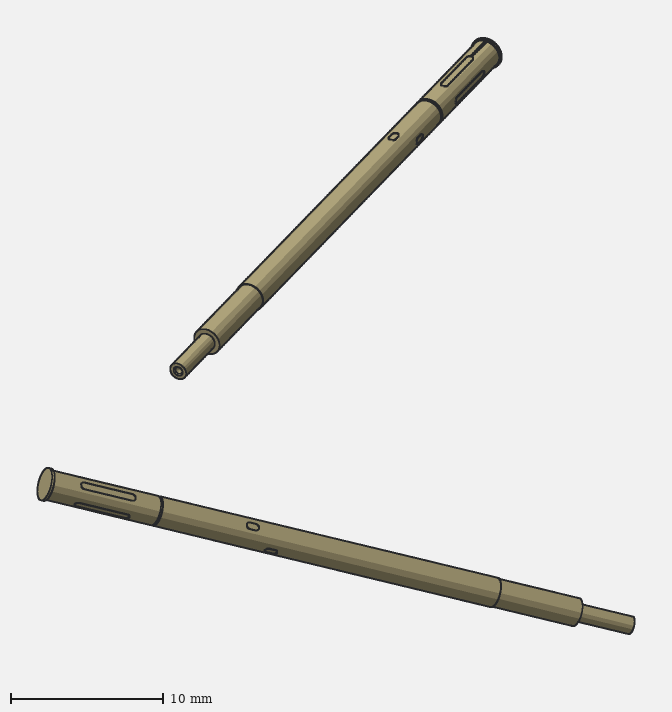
import cadquery as cq
import math

total_length = 43.0
head_end = total_length / 2
tail_end = -total_length / 2
flange_thickness = 0.2
neck_distance = 8.05
neck_width = 0.15
rear_length = 6.0
tail_length = 4.0

flange_diameter = 2.2
body_diameter = 2.0
neck_diameter = 1.9
rear_diameter = 1.9
tail_diameter = 1.2

countersink_diameter = 0.68
countersink_depth = 0.1
drill_point_diameter = 0.5
drill_point_angle = 120

recess_width = 0.5
recess_floor_radius = 0.92
slot_start = 2.2
slot_length = 4.0

slit_width = 0.12
slit_end = slot_start + recess_width / 2

dent_length = 0.9
dent_first_centre = 11.2
dent_pitch = 1.8

recesses_around = 4
quarter_turn = 360 / recesses_around


def turned_body():
    flange_radius = flange_diameter / 2
    body_radius = body_diameter / 2
    neck_radius = neck_diameter / 2
    rear_radius = rear_diameter / 2
    tail_radius = tail_diameter / 2
    flange_back = head_end - flange_thickness
    neck_front = head_end - neck_distance
    shoulder = tail_end + tail_length
    rear_front = shoulder + rear_length
    profile = (
        cq.Workplane("XY")
        .moveTo(0, head_end)
        .lineTo(flange_radius, head_end)
        .lineTo(flange_radius, flange_back)
        .lineTo(body_radius, flange_back)
        .lineTo(body_radius, neck_front)
        .lineTo(neck_radius, neck_front - neck_width)
        .lineTo(body_radius, neck_front - neck_width)
        .lineTo(body_radius, rear_front)
        .lineTo(rear_radius, rear_front)
        .lineTo(rear_radius, shoulder)
        .lineTo(tail_radius, shoulder)
        .lineTo(tail_radius, tail_end)
        .lineTo(0, tail_end)
        .close()
    )
    return profile.revolve(360, (0, 0, 0), (0, 1, 0))


def rounded_recess(length, distance, angle):
    """Cutter for a round-ended pocket; angle turns it about Y, starting from the +Z side."""
    cutter = (
        cq.Workplane("XY", origin=(0, head_end - distance, recess_floor_radius))
        .slot2D(length, recess_width, 90)
        .extrude(body_diameter)
    )
    return cutter.rotate((0, 0, 0), (0, 1, 0), angle)


def seam_slit():
    slit_length = slit_end - flange_thickness
    return (
        cq.Workplane("XY", origin=(0, head_end - slit_end, recess_floor_radius))
        .box(slit_width, slit_length, body_diameter, centered=(True, False, False))
    )


def tip_recess():
    drill_point_radius = drill_point_diameter / 2
    drill_point_depth = drill_point_radius / math.tan(math.radians(drill_point_angle / 2))
    profile = (
        cq.Workplane("XY", origin=(0, tail_end, 0))
        .lineTo(countersink_diameter / 2, 0)
        .lineTo(drill_point_radius, countersink_depth)
        .lineTo(0, countersink_depth + drill_point_depth)
        .close()
    )
    return profile.revolve(360, (0, 0, 0), (0, 1, 0))


result = turned_body().cut(tip_recess()).cut(seam_slit())
for i in range(recesses_around):
    result = result.cut(rounded_recess(slot_length, slot_start + slot_length / 2, i * quarter_turn))
    dent_centre = dent_first_centre + i * dent_pitch
    result = result.cut(rounded_recess(dent_length, dent_centre, (1 - i) * quarter_turn))